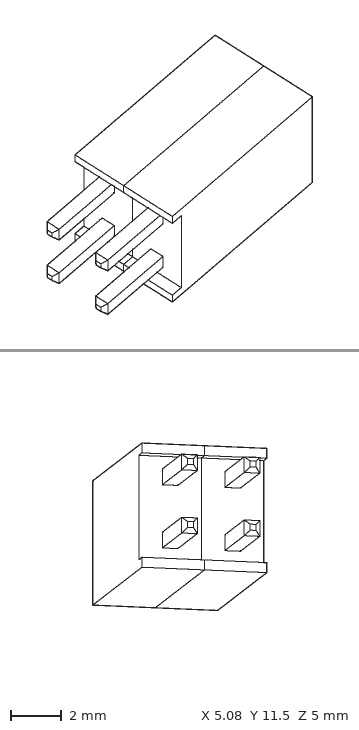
import cadquery as cq

total_length = 11.5
housing_length = 8.5
housing_height = 5.0
pitch = 2.54
module_count = 2
pins_per_module = 2

lip_length = 0.54
lip_thickness = 0.4

pin_width = 0.63
tip_chamfer = 0.2

housing_front = total_length - housing_length
channel_floor = housing_front + lip_length


def centered_offsets(count):
    """Positions of equally pitched items, centered on zero."""
    return [(index - (count - 1) / 2) * pitch for index in range(count)]


def make_housing():
    """Block with a channel across its front face, leaving a lip above and below."""
    block = cq.Workplane("XY").box(pitch, housing_length, housing_height, centered=(True, False, True))
    channel_height = housing_height - 2 * lip_thickness
    channel = cq.Workplane("XY").box(pitch, lip_length, channel_height, centered=(True, False, True))
    return block.cut(channel).translate((0, housing_front, 0))


def make_pin():
    """Square pin from the channel floor to Y = 0, chamfered around its tip."""
    pin = cq.Workplane("XY").box(pin_width, channel_floor, pin_width, centered=(True, False, True))
    return pin.faces("<Y").chamfer(tip_chamfer)


def make_module():
    """One connector module: a housing and its column of pins as a single solid."""
    module = make_housing()
    for pin_z in centered_offsets(pins_per_module):
        module = module.union(make_pin().translate((0, 0, pin_z)))
    return module


modules = []
for module_x in centered_offsets(module_count):
    modules.append(make_module().translate((module_x, 0, 0)).val())

result = cq.Compound.makeCompound([*modules])